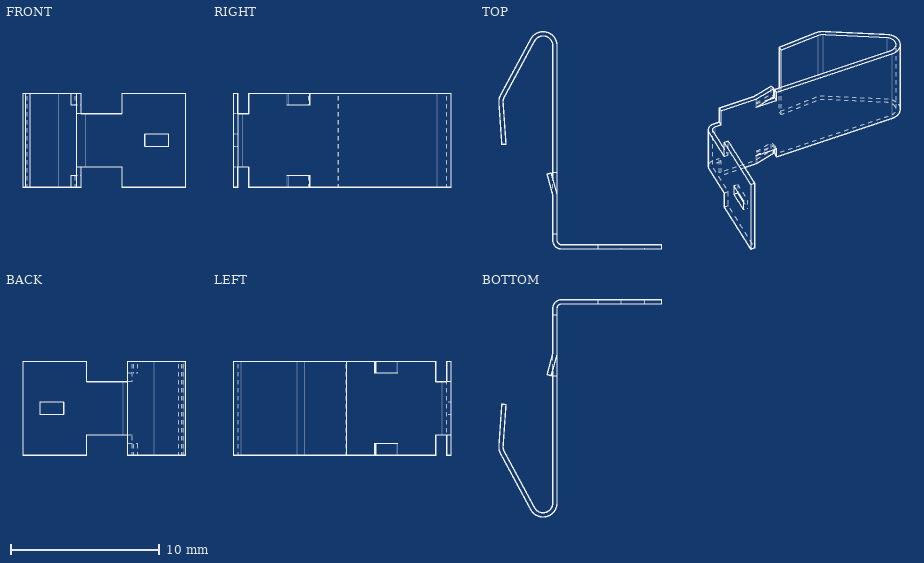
import cadquery as cq
import math

thickness = 0.3
width = 6.35
length = 14.68
hook_reach = 3.64
foot_reach = 7.36

foot_bend_outer = 2 * thickness
neck_width = 3.6
pad_length = 4.31
slot_length = 1.57
slot_width = 0.83
slot_end_margin = 1.18
wall_start = 1.03

hook_bend_inner = 0.65
hook_bend_outer = hook_bend_inner + thickness
leg_tilt = 28.3
lip_tilt = 4
lip_length = 2.83

tab_start = 3.61
tab_notch_length = 1.55
tab_height = 0.8
tab_tilt = 15
tab_bend_inner = 0.1
tab_length = 1.48


def polar(center, radius, degrees):
    """Point at a radius and angle around a center in the XY plane."""
    angle = math.radians(degrees)
    return (center[0] + radius * math.cos(angle), center[1] + radius * math.sin(angle))


def plate(x_start, x_end, y_start, y_end, height):
    """Box given by its X and Y limits, centered on Z = 0."""
    size_x = x_end - x_start
    size_y = y_end - y_start
    center = ((x_start + x_end) / 2, (y_start + y_end) / 2, 0)
    return cq.Workplane("XY").box(size_x, size_y, height).translate(center)


def sheet_bend(center, inner, start, end, height):
    """Curved strip of sheet around a center, between two angles in degrees."""
    outer = inner + thickness
    middle = (start + end) / 2
    profile = (
        cq.Workplane("XY")
        .moveTo(*polar(center, outer, start))
        .threePointArc(polar(center, outer, middle), polar(center, outer, end))
        .lineTo(*polar(center, inner, end))
        .threePointArc(polar(center, inner, middle), polar(center, inner, start))
        .close()
    )
    return profile.extrude(height / 2, both=True)


def sheet_leg(center, inner, angle, leg_length, height):
    """Flat strip leaving a bend tangentially, counterclockwise, at an angle."""
    inner_start = polar(center, inner, angle)
    outer_start = polar(center, inner + thickness, angle)
    profile = cq.Workplane("XY").polyline([
        inner_start,
        outer_start,
        polar(outer_start, leg_length, angle + 90),
        polar(inner_start, leg_length, angle + 90),
    ]).close()
    return profile.extrude(height / 2, both=True)


def make_foot():
    """Neck, slotted pad and the bend that joins them to the wall."""
    bend_center = (foot_bend_outer, foot_bend_outer)
    bend = sheet_bend(bend_center, foot_bend_outer - thickness, 180, 270, neck_width)
    pad_start = foot_reach - pad_length
    neck = plate(foot_bend_outer, pad_start, 0, thickness, neck_width)
    pad = plate(pad_start, foot_reach, 0, thickness, width)
    slot_end = foot_reach - slot_end_margin
    slot = plate(slot_end - slot_length, slot_end, 0, thickness, slot_width)
    return bend.union(neck).union(pad).cut(slot)


def make_wall():
    """Long flat wall with its narrow root and the edge notches behind the tabs."""
    wall_end = length - hook_bend_outer
    root = plate(0, thickness, foot_bend_outer, wall_start, neck_width)
    body = plate(0, thickness, wall_start, wall_end, width)
    notch_end = tab_start + tab_notch_length
    notched_strip = plate(0, thickness, tab_start, notch_end, width)
    kept_middle = plate(0, thickness, tab_start, notch_end, width - 2 * tab_height)
    notches = notched_strip.cut(kept_middle)
    return root.union(body.cut(notches))


def make_hook():
    """Crown bend, sloping leg, second bend and lip."""
    crown_center = (thickness - hook_bend_outer, length - hook_bend_outer)
    leg_angle = 180 - leg_tilt
    lip_angle = 180 + lip_tilt
    lip_bend_x = hook_bend_outer - hook_reach
    leg_length = (crown_center[0] - lip_bend_x) / math.sin(math.radians(leg_tilt))
    lip_bend_center = polar(crown_center, leg_length, leg_angle + 90)

    crown = sheet_bend(crown_center, hook_bend_inner, 0, leg_angle, width)
    leg = sheet_leg(crown_center, hook_bend_inner, leg_angle, leg_length, width)
    lip_bend = sheet_bend(lip_bend_center, hook_bend_inner, leg_angle, lip_angle, width)
    lip = sheet_leg(lip_bend_center, hook_bend_inner, lip_angle, lip_length, width)
    return crown.union(leg).union(lip_bend).union(lip)


def make_tab():
    """One latch tab, centered on Z = 0."""
    bend_center = (-tab_bend_inner, tab_start)
    bend = sheet_bend(bend_center, tab_bend_inner, 0, tab_tilt, tab_height)
    blade = sheet_leg(bend_center, tab_bend_inner, tab_tilt, tab_length, tab_height)
    return bend.union(blade)


result = make_foot().union(make_wall()).union(make_hook())
for side in (-1, 1):
    tab_center_z = side * (width - tab_height) / 2
    result = result.union(make_tab().translate((0, 0, tab_center_z)))